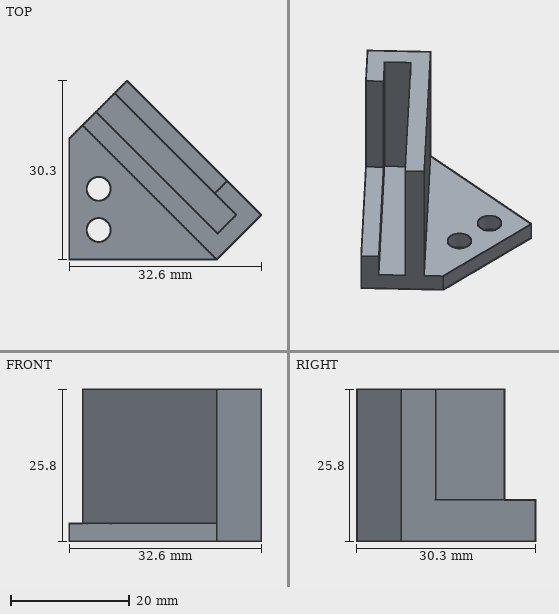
import cadquery as cq
import math

length_x = 32.57
width_y = 30.3
height = 25.75

base_thickness = 3.03
corner_cut = 7.55
front_edge = length_x - corner_cut
top_corner_x = length_x - (width_y - corner_cut)
left_edge = width_y - top_corner_x

main_wall = 3.22
end_wall = 3.03
lip_wall = 3.0
channel_length = (width_y - corner_cut) * math.sqrt(2)
channel_width = corner_cut * math.sqrt(2)
slot_width = channel_width - main_wall - lip_wall
low_lip_height = 7.0
tall_lip_length = 8.18

hole_diameter = 4.0
hole_x = 5.0
hole_ys = (5.0, 12.0)


def channel_box(start, end, inner, outer, bottom, top):
    """Box measured back from the channel's closed end and out from its main wall."""
    box = cq.Workplane("XY").box(end - start, outer - inner, top - bottom, centered=False)
    box = box.translate((-end, inner, bottom))
    return box.rotate((0, 0, 0), (0, 0, 1), -45).translate((front_edge, 0, 0))


base = (
    cq.Workplane("XY")
    .polyline([
        (0, 0),
        (front_edge, 0),
        (length_x, corner_cut),
        (top_corner_x, width_y),
        (0, left_edge),
    ])
    .close()
    .extrude(base_thickness)
)

lip_inner = main_wall + slot_width
channel = channel_box(0, channel_length, 0, channel_width, 0, height)
slot = channel_box(end_wall, channel_length, main_wall, lip_inner, base_thickness, height)
lip_opening = channel_box(
    tall_lip_length, channel_length, lip_inner, channel_width, low_lip_height, height
)
channel = channel.cut(slot).cut(lip_opening)

holes = (
    cq.Workplane("XY")
    .pushPoints([(hole_x, y) for y in hole_ys])
    .circle(hole_diameter / 2)
    .extrude(base_thickness)
)

result = base.union(channel).cut(holes)